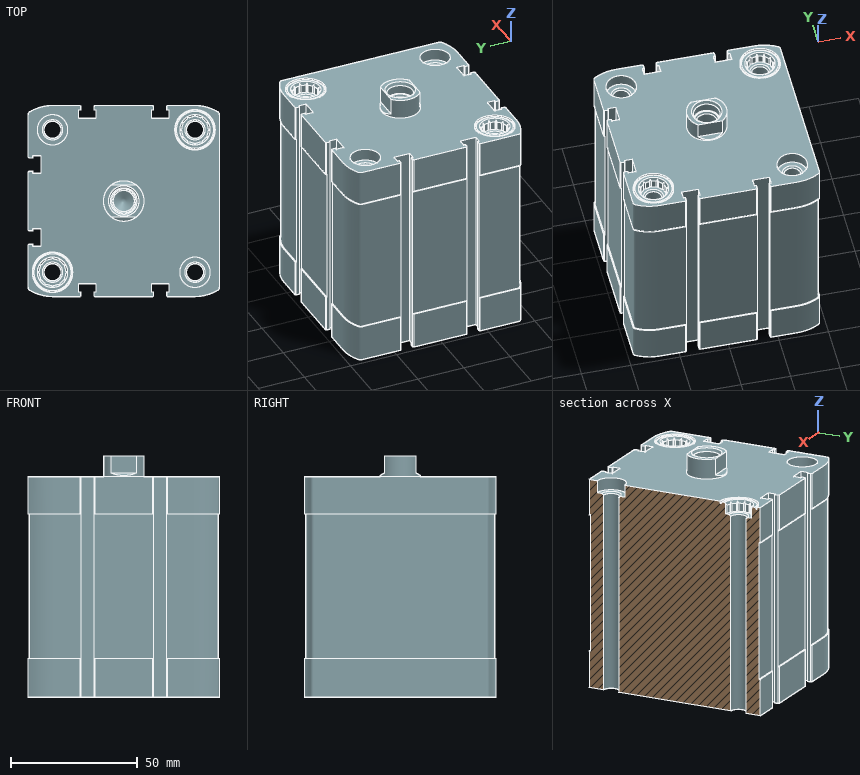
import cadquery as cq
import math

side = 75.5
total_height = 95.2
rod_projection = 8.2
housing_height = total_height - rod_projection
half_side = side / 2

bottom_cap_height = 15.3
top_cap_height = 14.85
barrel_inset = 0.43
barrel_top = housing_height - top_cap_height

corner_arc_radius = 18.1
corner_arc_run = 9.9
corner_blend_radius = 1.3

slot_offset = 14.4
slot_mouth_width = 5.1
slot_inner_width = 6.8
slot_lip = 1.9
slot_depth = 5.0
slot_edge_chamfer = 0.4
slot_outside_margin = 0.95

screw_offset = 28.1
screw_hole_diameter = 6.7
screw_recess_diameter = 12.0
screw_recess_depth = 4.95
screw_lead_in_diameter = 8.0
screw_lead_in_depth = (screw_lead_in_diameter - screw_hole_diameter) / 2

nut_groove_diameter = 16.0
nut_diameter = 15.5
nut_groove_depth = 0.95
nut_chamfer = 0.5
nut_face_depth = 0.2
nut_mouth_diameter = screw_recess_diameter
nut_mouth_depth = 1.3
nut_socket_diameter = 10.5
nut_spline_diameter = 11.3
nut_spline_squares = 3

rod_diameter = 16.0
rod_bottom = barrel_top
rod_flat_width = 12.6
rod_flat_length = 6.8
rod_flat_ledge_angle = 30.0
rod_mouth_diameter = 12.0
rod_counterbore_diameter = 10.5
rod_mouth_depth = 1.3
rod_counterbore_depth = 4.95
rod_bore_mouth_diameter = 9.5
rod_bore_mouth_depth = 0.95
rod_bore_diameter = 8.4
rod_bore_depth = 14.3
drill_point_angle = 120.0


def cone(top_diameter, bottom_diameter, top_z, depth):
    """Upright cone frustum that narrows downwards from top_z."""
    return (
        cq.Workplane("XY", origin=(0, 0, top_z - depth))
        .circle(bottom_diameter / 2)
        .workplane(offset=depth)
        .circle(top_diameter / 2)
        .loft()
    )


def cylinder(diameter, bottom, top):
    return cq.Workplane("XY", origin=(0, 0, bottom)).circle(diameter / 2).extrude(top - bottom)


def arc_drop(run):
    """Fall of the corner arc below its tangent Y face after `run` along X."""
    return corner_arc_radius - math.sqrt(corner_arc_radius**2 - run**2)


def block(inset, bottom, top):
    """Prism with domed corners, its faces set in from the cap faces by `inset`."""
    flat_end = half_side - corner_arc_run
    corner = (half_side, half_side - arc_drop(corner_arc_run))
    middle = (half_side - corner_arc_run / 2, half_side - arc_drop(corner_arc_run / 2))
    outline = (
        cq.Workplane("XY")
        .moveTo(-flat_end, half_side)
        .lineTo(flat_end, half_side)
        .threePointArc(middle, corner)
        .lineTo(corner[0], -corner[1])
        .threePointArc((middle[0], -middle[1]), (flat_end, -half_side))
        .lineTo(-flat_end, -half_side)
        .threePointArc((-middle[0], -middle[1]), (-corner[0], -corner[1]))
        .lineTo(-corner[0], corner[1])
        .threePointArc((-middle[0], middle[1]), (-flat_end, half_side))
        .close()
    )
    if inset:
        outline = outline.offset2D(-inset)
    prism = outline.extrude(top - bottom)
    blended = prism.edges("(|Z and >X) or (|Z and <X)").fillet(corner_blend_radius)
    return blended.translate((0, 0, bottom))


def slot(angle, offset):
    """T-slot cutter along Z for the face reached by turning the -Y face by `angle`."""
    mouth = slot_mouth_width / 2
    inner = slot_inner_width / 2
    face = -half_side
    outside = face - slot_outside_margin
    flare = mouth + slot_edge_chamfer
    half_profile = [
        (flare, outside),
        (flare, face),
        (mouth, face + slot_edge_chamfer),
        (mouth, face + slot_lip),
        (inner, face + slot_lip),
        (inner, face + slot_depth),
    ]
    other_half = [(-x, y) for x, y in reversed(half_profile)]
    return (
        cq.Workplane("XY")
        .polyline(half_profile + other_half)
        .close()
        .extrude(housing_height)
        .translate((offset, 0, 0))
        .rotate((0, 0, 0), (0, 0, 1), angle)
    )


def screw_hole():
    """Through hole with a lead-in cone below the level of the recess floor."""
    floor = housing_height - screw_recess_depth
    hole = cylinder(screw_hole_diameter, 0, housing_height)
    return hole.union(cone(screw_lead_in_diameter, screw_hole_diameter, floor, screw_lead_in_depth))


def plain_recess():
    return cylinder(screw_recess_diameter, housing_height - screw_recess_depth, housing_height)


def nut_recess():
    """Splined socket with a conical mouth, ringed by the groove around the chamfered nut."""
    floor = housing_height - screw_recess_depth
    face = housing_height - nut_face_depth
    groove_bottom = housing_height - nut_groove_depth

    nut = cylinder(nut_diameter, groove_bottom, face).faces(">Z").chamfer(nut_chamfer)
    recess = cylinder(nut_groove_diameter, groove_bottom, housing_height).cut(nut)
    recess = recess.union(cone(nut_mouth_diameter, nut_socket_diameter, face, nut_mouth_depth))
    recess = recess.union(cylinder(nut_socket_diameter, floor, face))
    square_side = nut_spline_diameter / math.sqrt(2)
    tip_pitch = 90 / nut_spline_squares
    for i in range(nut_spline_squares):
        square = (
            cq.Workplane("XY", origin=(0, 0, floor))
            .transformed(rotate=(0, 0, 45 + i * tip_pitch))
            .rect(square_side, square_side)
            .extrude(face - floor)
        )
        recess = recess.union(square)
    return recess


def make_housing():
    body = block(0, 0, bottom_cap_height)
    body = body.union(block(barrel_inset, bottom_cap_height, barrel_top))
    body = body.union(block(0, barrel_top, housing_height))
    for angle in (0, 180, -90):
        for offset in (-slot_offset, slot_offset):
            body = body.cut(slot(angle, offset))
    for x_sign in (-1, 1):
        for y_sign in (-1, 1):
            recess = nut_recess() if x_sign == y_sign else plain_recess()
            place = (x_sign * screw_offset, y_sign * screw_offset, 0)
            body = body.cut(screw_hole().translate(place)).cut(recess.translate(place))
    return body.cut(cylinder(rod_diameter, rod_bottom, housing_height))


def rod_flat(side_sign):
    """Cutter for one wrench flat, with its ledge sloping down and outwards."""
    flat = rod_flat_width / 2
    outside = rod_diameter
    ledge = total_height - rod_flat_length
    outer_ledge = ledge - (outside - flat) * math.tan(math.radians(rod_flat_ledge_angle))
    profile = [(flat, total_height), (flat, ledge), (outside, outer_ledge), (outside, total_height)]
    return (
        cq.Workplane("YZ")
        .polyline([(side_sign * y, z) for y, z in profile])
        .close()
        .extrude(rod_diameter / 2, both=True)
    )


def make_rod():
    mouth = rod_mouth_diameter / 2
    counterbore = rod_counterbore_diameter / 2
    bore = rod_bore_diameter / 2
    bore_end = total_height - rod_bore_depth
    tip = bore_end - bore / math.tan(math.radians(drill_point_angle / 2))
    counterbore_floor = total_height - rod_counterbore_depth
    bore_profile = [
        (0, total_height),
        (mouth, total_height),
        (counterbore, total_height - rod_mouth_depth),
        (counterbore, counterbore_floor),
        (rod_bore_mouth_diameter / 2, counterbore_floor),
        (bore, counterbore_floor - rod_bore_mouth_depth),
        (bore, bore_end),
        (0, tip),
    ]
    stepped_bore = cq.Workplane("XZ").polyline(bore_profile).close().revolve(360, (0, 0), (0, 1))
    rod = cylinder(rod_diameter, rod_bottom, total_height).cut(stepped_bore)
    for side_sign in (-1, 1):
        rod = rod.cut(rod_flat(side_sign))
    return rod


housing = make_housing()
rod = make_rod()
result = cq.Compound.makeCompound([housing.val(), rod.val()])